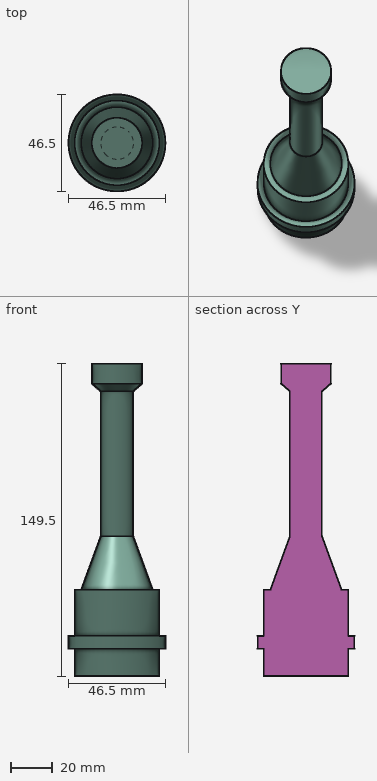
import cadquery as cq

body_diameter = 40.5
collar_diameter = 46.5
cone_base_diameter = 34.2
stem_diameter = 15.5
head_diameter = 24.0

total_height = 149.5
collar_bottom = 13.0
collar_top = 19.3
body_top = 41.4
cone_top = 67.0
head_taper_bottom = 136.2
head_taper_top = 140.0


def cylinder(diameter, bottom, top):
    """Upright cylinder on the Z axis between two heights."""
    return cq.Workplane("XY").workplane(offset=bottom).circle(diameter / 2).extrude(top - bottom)


def cone(bottom_diameter, top_diameter, bottom, top):
    """Truncated cone on the Z axis between two heights."""
    solid = cq.Solid.makeCone(
        bottom_diameter / 2,
        top_diameter / 2,
        top - bottom,
        pnt=cq.Vector(0, 0, bottom),
    )
    return cq.Workplane(obj=solid)


body = cylinder(body_diameter, 0, body_top)
collar = cylinder(collar_diameter, collar_bottom, collar_top)

shoulder = cone(cone_base_diameter, stem_diameter, body_top, cone_top)
stem = cylinder(stem_diameter, cone_top, head_taper_bottom)

head_taper = cone(stem_diameter, head_diameter, head_taper_bottom, head_taper_top)
head = cylinder(head_diameter, head_taper_top, total_height)

result = body.union(collar).union(shoulder).union(stem).union(head_taper).union(head)